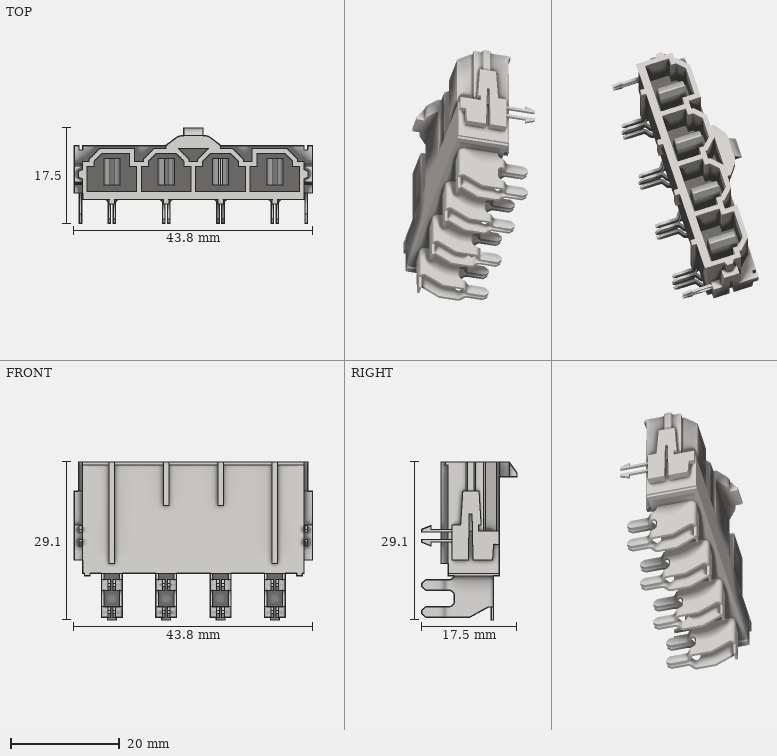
import cadquery as cq
import math


circuits = 4
pitch = 10.0
half_length = 20.38
base_depth = 9.4
base_height = 7.85
height = 20.5

wall = 0.9
cavity_front = 0.95
cavity_shoulder = 5.6
cavity_back = 7.98
cavity_half_width = 4.55
cavity_back_half_width = 3.3
cavity_chamfer = 1.45
wall_chamfer = 1.95
shroud_back = cavity_back + wall
shroud_shoulder = cavity_shoulder + wall

lip_depth = 0.5
lip_height = 0.53
rib_depth = 1.3
rib_width = 1.0
long_rib_bottom = 1.8
short_rib_bottom = 12.5

latch_half_width = 5.0
latch_crown_half_width = 3.2
latch_crown_depth = 10.85
latch_shoulder_depth = 9.5
latch_depth = 11.25
latch_bottom = 17.75
nose_half_width = 1.8
nose_tip = 12.7
nose_edge_height = 0.65

end_x = 21.9
wing_bottom = 2.45
wing_front = 0.7
wing_corner_back = 8.2
wing_step_back = 8.35
wing_step_height = 5.35
ledge_front = 5.55
tower_foot = 8.9
tower_foot_front = 2.32
tower_foot_back = 6.1
tower_top = 15.1
tower_top_front = 2.7
tower_top_back = 5.7
slit_center = 4.15
slit_top = 10.9
slit_top_half_width = 0.25
slit_bottom_half_width = 0.45
wing_notch_width = 0.6
wing_notch_depth = 0.8
key_out = 0.7
key_center = 4.15
key_tip_half_width = 0.55
key_root_half_width = 0.88

lock_tip = -4.85
lock_outer_x = 21.0
lock_thickness = 0.5
lock_root = 1.3
lock_leg = 0.53
lock_center = 6.92
lock_gap = 1.3
barb_length = 1.75
barb_rise = 0.7
foot_inner_x = 18.97
foot_width = 1.05
foot_height = 0.45

sheet = 0.5
half_sheet = sheet / 2
channel_half_width = 1.93
channel_back = 8.35
channel_bend = 0.95
tine_half_spread = 0.7
tine_tip = lock_tip
bend_start = 0.53
bend_angle = 57
tine_height = 1.95
upper_tine_top = -1.15
terminal_bottom = -8.05
channel_bottom = -6.2
channel_slope_end = 4.0
tine_root = 1.15
tine_root_radius = 0.95
tine_tip_length = 0.8
tine_tip_half_height = 0.3
tail_half_width = 0.85
tail_thickness = 0.45
tail_bottom = -8.6
embed = 0.88

blade_front = 2.15
blade_back = 7.05
blade_top = 16.65
blade_half_width = 1.5
blade_step_half_width = 1.1
blade_ridge = 0.35
blade_valley_depth = 0.2
blade_step_drop = 1.65
blade_side_drop = 3.5

circuit_x = [(i - (circuits - 1) / 2) * pitch for i in range(circuits)]


def box(x0, x1, y0, y1, z0, z1):
    return cq.Workplane("XY").box(x1 - x0, y1 - y0, z1 - z0, centered=False).translate((x0, y0, z0))


def slab_yz(points, x0, x1):
    """Closed (y, z) outline extruded from x0 to x1."""
    return cq.Workplane("YZ").polyline(points).close().extrude(x1 - x0).translate((x0, 0, 0))


def with_mirror(solid):
    return solid.union(solid.mirror("YZ"))


def keyed_outline(x, front, shoulder, back, half_width, back_half_width, chamfers):
    """Stepped outline about x; chamfers gives the (left, right) cuts of the back corners."""
    left, right = chamfers
    points = [
        (x - half_width, front),
        (x + half_width, front),
        (x + half_width, shoulder),
        (x + back_half_width, shoulder),
        (x + back_half_width, back - right),
        (x + back_half_width - right, back),
        (x - back_half_width + left, back),
        (x - back_half_width, back - left),
        (x - back_half_width, shoulder),
        (x - half_width, shoulder),
    ]
    return [p for i, p in enumerate(points) if p != points[i - 1]]


def corner_cuts(index, size):
    """The end circuits keep their inner back corner square."""
    left = 0 if index == circuits - 1 else size
    right = 0 if index == 0 else size
    return left, right


def make_housing():
    body = box(-half_length, half_length, 0, base_depth, 0, base_height)
    body = body.union(box(-half_length, half_length, 0, shroud_shoulder, 0, height))
    for i, x in enumerate(circuit_x):
        outline = keyed_outline(x, 0, shroud_shoulder, shroud_back, pitch / 2,
                                cavity_back_half_width + wall, corner_cuts(i, wall_chamfer))
        body = body.union(cq.Workplane("XY").polyline(outline).close().extrude(height))
    return body


def cut_cavities(body):
    for i, x in enumerate(circuit_x):
        outline = keyed_outline(x, cavity_front, cavity_shoulder, cavity_back, cavity_half_width,
                                cavity_back_half_width, corner_cuts(i, cavity_chamfer))
        cavity = cq.Workplane("XY").workplane(offset=base_height).polyline(outline).close()
        body = body.cut(cavity.extrude(height - base_height))
    return body


def make_front_details():
    details = box(-half_length, half_length, -lip_depth, 0, height - lip_height, height)
    for i, x in enumerate(circuit_x):
        bottom = long_rib_bottom if i in (0, circuits - 1) else short_rib_bottom
        details = details.union(
            box(x - rib_width / 2, x + rib_width / 2, -rib_depth, 0, bottom, height))
    return details


def make_latch():
    pad = box(-latch_half_width, latch_half_width, shroud_back, base_depth, base_height, height)
    crown = with_mirror(
        cq.Workplane("XY").workplane(offset=latch_bottom)
        .moveTo(0, base_depth)
        .lineTo(latch_half_width, base_depth)
        .lineTo(latch_half_width, latch_shoulder_depth)
        .lineTo(latch_crown_half_width, latch_crown_depth)
        .tangentArcPoint((nose_half_width, latch_depth), relative=False)
        .lineTo(0, latch_depth)
        .close().extrude(height - latch_bottom)
    )
    nose = slab_yz([
        (base_depth, latch_bottom),
        (nose_tip, latch_bottom),
        (nose_tip, latch_bottom + nose_edge_height),
        (latch_depth, height),
        (base_depth, height),
    ], -nose_half_width, nose_half_width)
    return pad.union(crown).union(nose)


def make_wing():
    """Left-hand end plate: ledge, tapered tower and a slit open at the bottom."""
    plate = slab_yz([
        (base_depth, base_height),
        (ledge_front, base_height),
        (ledge_front, tower_foot),
        (tower_foot_back, tower_foot),
        (tower_top_back, tower_top),
        (tower_top_front, tower_top),
        (tower_foot_front, tower_foot),
        (wing_front, tower_foot),
        (wing_front, wing_bottom),
        (slit_center - slit_bottom_half_width, wing_bottom),
        (slit_center - slit_top_half_width, slit_top),
        (slit_center + slit_top_half_width, slit_top),
        (slit_center + slit_bottom_half_width, wing_bottom),
        (wing_corner_back, wing_bottom),
        (wing_step_back, wing_step_height),
        (base_depth, wing_step_height),
    ], -end_x, -half_length)
    notch = box(-half_length - wing_notch_width, -half_length,
                base_depth - wing_notch_depth, base_depth, wing_bottom, base_height)
    return plate.cut(notch)


def make_key():
    """Tapered ridge up the left end of the shroud."""
    return (
        cq.Workplane("XY").workplane(offset=base_height)
        .polyline([
            (-half_length, key_center - key_root_half_width),
            (-half_length, key_center + key_root_half_width),
            (-half_length - key_out, key_center + key_tip_half_width),
            (-half_length - key_out, key_center - key_tip_half_width),
        ]).close().extrude(height - base_height)
    )


def make_board_lock():
    """Pair of barbed legs in front of the left wing, barbs facing apart."""
    inner = lock_gap / 2
    outer = inner + lock_leg
    outline = [
        (lock_root, inner),
        (lock_tip, inner),
        (lock_tip, outer),
        (lock_tip + barb_length, outer + barb_rise),
        (lock_tip + barb_length, outer),
        (lock_root, outer),
    ]
    leg = slab_yz(outline, -lock_outer_x, lock_thickness - lock_outer_x)
    legs = leg.union(leg.mirror("XY"))
    return legs.translate((0, 0, lock_center))


def make_foot():
    """Stand-off strip under the left end of the base."""
    return box(-foot_inner_x - foot_width, -foot_inner_x, 0, base_depth, -foot_height, 0)


def make_sheet_channel():
    """Folded strip in plan: closed at the back, its sides stepping in to the tines."""
    x_side = channel_half_width - half_sheet
    x_tine = tine_half_spread - half_sheet
    y_back = channel_back - half_sheet
    radius = channel_bend - half_sheet
    corner_drop = radius * (1 - math.sqrt(0.5))
    angle = math.radians(bend_angle)
    bend_x = radius * (1 - math.cos(angle))
    bend_y = radius * math.sin(angle)
    middle_x = radius * (1 - math.cos(angle / 2))
    middle_y = radius * math.sin(angle / 2)
    slope_run = (x_side - x_tine - 2 * bend_x) / math.tan(angle)
    bend_end = bend_start - 2 * bend_y - slope_run
    center_line = (
        cq.Workplane("XY").workplane(offset=terminal_bottom)
        .moveTo(0, y_back)
        .lineTo(x_side - radius, y_back)
        .threePointArc((x_side - corner_drop, y_back - corner_drop), (x_side, y_back - radius))
        .lineTo(x_side, bend_start)
        .threePointArc((x_side - middle_x, bend_start - middle_y), (x_side - bend_x, bend_start - bend_y))
        .lineTo(x_tine + bend_x, bend_end + bend_y)
        .threePointArc((x_tine + middle_x, bend_end + middle_y), (x_tine, bend_end))
        .lineTo(x_tine, tine_tip - sheet)
    )
    strip = center_line.wire().offset2D(half_sheet).extrude(embed - terminal_bottom)
    return with_mirror(strip)


def draw_tine_tip(outline, top):
    """Continue a side outline out along a tine's top edge, round its tip and back underneath."""
    bottom = top - tine_height
    middle = (top + bottom) / 2
    return (
        outline.lineTo(tine_tip + tine_tip_length, top)
        .lineTo(tine_tip, middle + tine_tip_half_height)
        .lineTo(tine_tip, middle - tine_tip_half_height)
        .lineTo(tine_tip + tine_tip_length, bottom)
    )


def make_side_outline():
    """Side shape of a terminal: sloped lower corner, U-shaped gap between pointed tines."""
    arc_front = tine_root - tine_root_radius
    arc_drop = tine_root_radius * (1 - math.sqrt(0.5))
    upper_bottom = upper_tine_top - tine_height
    lower_top = terminal_bottom + tine_height
    outline = (
        cq.Workplane("YZ")
        .moveTo(channel_back, embed)
        .lineTo(tine_root, embed)
        .lineTo(tine_root, upper_tine_top + tine_root_radius)
        .threePointArc((tine_root - arc_drop, upper_tine_top + arc_drop), (arc_front, upper_tine_top))
    )
    outline = (
        draw_tine_tip(outline, upper_tine_top)
        .lineTo(arc_front, upper_bottom)
        .threePointArc((tine_root - arc_drop, upper_bottom - arc_drop),
                       (tine_root, upper_bottom - tine_root_radius))
        .lineTo(tine_root, lower_top + tine_root_radius)
        .threePointArc((tine_root - arc_drop, lower_top + arc_drop), (arc_front, lower_top))
    )
    outline = (
        draw_tine_tip(outline, lower_top)
        .lineTo(channel_slope_end, terminal_bottom)
        .lineTo(channel_back - channel_bend, channel_bottom)
        .lineTo(channel_back, channel_bottom)
        .close()
    )
    return outline.extrude(channel_half_width, both=True)


def make_legs():
    legs = make_sheet_channel().intersect(make_side_outline())
    tail = box(-tail_half_width, tail_half_width, channel_back - tail_thickness, channel_back,
               tail_bottom, embed)
    return legs.union(tail)


def make_blade():
    """Contact standing in a cavity: two ridges with a shallow valley between steep flanks."""
    right_side = [
        (blade_ridge, blade_top),
        (blade_step_half_width, blade_top - blade_step_drop),
        (blade_half_width, blade_top - blade_side_drop),
        (blade_half_width, base_height - embed),
    ]
    left_side = [(-x, z) for x, z in reversed(right_side)]
    outline = [(0, blade_top - blade_valley_depth)] + right_side + left_side
    blade = cq.Workplane("XZ").polyline(outline).close().extrude(blade_back - blade_front)
    return blade.translate((0, blade_back, 0))


result = cut_cavities(make_housing())
result = result.union(make_front_details()).union(make_latch())
for end_part in (make_wing(), make_key(), make_board_lock(), make_foot()):
    result = result.union(with_mirror(end_part))
terminal_parts = (make_legs(), make_blade())
for x in circuit_x:
    for terminal_part in terminal_parts:
        result = result.union(terminal_part.translate((x, 0, 0)))